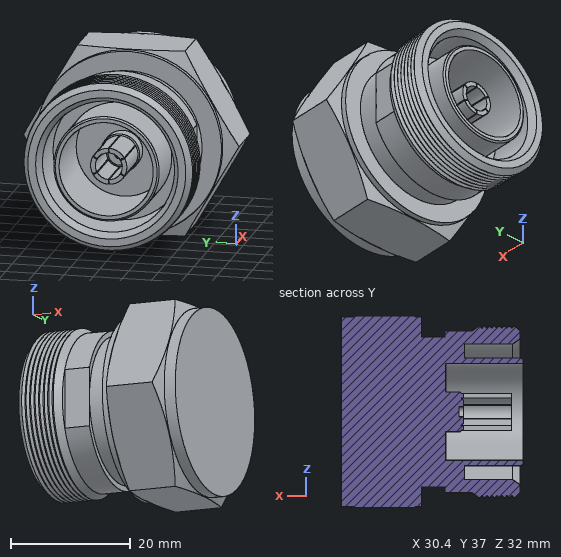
import cadquery as cq


body_front = 0.5
thread_end = 8.57
flats_end = 13.1
flange_front = 17.0
hex_front = 18.05
hex_back = 28.38
overall_length = 30.4

body_radius = 13.52
neck_radius = 12.55
flange_radius = 15.9

crest_radius = 14.45
thread_depth = 0.45
crest_count = 8
first_crest = 1.5
last_crest = 7.3
thread_pitch = (last_crest - first_crest) / (crest_count - 1)

hex_corner_radius = 18.48
front_bevel_length = 0.9
back_bevel_length = 1.05

socket_radius = 11.3
socket_mouth_radius = 12.2
socket_bevel_length = 1.25
socket_floor = 9.8
sleeve_radius = 9.0
sleeve_bore_radius = 8.05
sleeve_bevel = 0.3
sleeve_floor = 12.95

contact_front = 1.95
contact_radius = 3.1
contact_base_radius = 3.33
contact_bore_radius = 2.3
contact_floor = 10.35
slot_width = 0.15
slot_count = 3
plug_tip_radius = 1.92
plug_bevel_length = 0.37
centre_hole_radius = 0.8
centre_hole_depth = 0.75


def revolve_about_axis(points):
    """Revolve a closed (x, radius) outline about the X axis."""
    return cq.Workplane("XY").polyline(points).close().revolve(360, (0, 0, 0), (1, 0, 0))


def cylinder(start, end, radius):
    return cq.Workplane("YZ", origin=(start, 0, 0)).circle(radius).extrude(end - start)


def make_body():
    outline = [(body_front, 0), (body_front, body_radius)]
    for i in range(crest_count):
        crest = first_crest + i * thread_pitch
        if i > 0:
            outline.append((crest - thread_pitch / 2, crest_radius - thread_depth))
        outline.append((crest, crest_radius))
    outline += [
        (thread_end, body_radius),
        (flats_end, body_radius),
        (flats_end, neck_radius),
        (flange_front, neck_radius),
        (flange_front, flange_radius),
        (overall_length, flange_radius),
        (overall_length, 0),
    ]
    return revolve_about_axis(outline)


def cut_wrench_flats(body):
    """Trim the band behind the thread to two flats facing -Y and +Y."""
    length = flats_end - thread_end
    band_centre = (thread_end + flats_end) / 2
    flat_depth = body_radius - neck_radius
    for side in (-1, 1):
        cutter = cq.Workplane("XY").box(length, flat_depth, 2 * body_radius)
        body = body.cut(cutter.translate((band_centre, side * (neck_radius + flat_depth / 2), 0)))
    return body


def make_hex():
    prism = (
        cq.Workplane("YZ", origin=(hex_front, 0, 0))
        .polygon(6, 2 * hex_corner_radius)
        .extrude(hex_back - hex_front)
    )
    bevel_envelope = revolve_about_axis([
        (hex_front, 0),
        (hex_front, flange_radius),
        (hex_front + front_bevel_length, hex_corner_radius),
        (hex_back - back_bevel_length, hex_corner_radius),
        (hex_back, flange_radius),
        (hex_back, 0),
    ])
    return prism.intersect(bevel_envelope)


def cut_socket(body):
    return body.cut(revolve_about_axis([
        (body_front, 0),
        (body_front, socket_mouth_radius),
        (body_front + socket_bevel_length, socket_radius),
        (socket_floor, socket_radius),
        (socket_floor, sleeve_bore_radius),
        (sleeve_floor, sleeve_bore_radius),
        (sleeve_floor, 0),
    ]))


def make_sleeve():
    return revolve_about_axis([
        (0, sleeve_bore_radius),
        (0, sleeve_radius - sleeve_bevel),
        (sleeve_bevel, sleeve_radius),
        (sleeve_floor, sleeve_radius),
        (sleeve_floor, sleeve_bore_radius),
    ])


def make_contact():
    """Tube split into fingers, with a bevelled plug and centre hole at its floor."""
    base_bevel = contact_base_radius - contact_radius
    contact = revolve_about_axis([
        (contact_front, 0),
        (contact_front, contact_radius),
        (contact_floor, contact_radius),
        (contact_floor + base_bevel, contact_base_radius),
        (sleeve_floor, contact_base_radius),
        (sleeve_floor, 0),
    ])
    plug_face = contact_floor - plug_bevel_length
    contact = contact.cut(revolve_about_axis([
        (contact_front, 0),
        (contact_front, contact_bore_radius),
        (contact_floor, contact_bore_radius),
        (plug_face, plug_tip_radius),
        (plug_face, 0),
    ]))
    contact = contact.cut(cylinder(plug_face, plug_face + centre_hole_depth, centre_hole_radius))
    slot_length = plug_face - contact_front
    slot_middle = contact_front + slot_length / 2
    for i in range(slot_count):
        slot = cq.Workplane("XY").box(slot_length, slot_width, 2 * contact_base_radius)
        slot = slot.translate((slot_middle, 0, 0))
        contact = contact.cut(slot.rotate((0, 0, 0), (1, 0, 0), i * 180 / slot_count))
    return contact


body = cut_wrench_flats(make_body()).union(make_hex())
body = cut_socket(body)
result = body.union(make_sleeve()).union(make_contact())